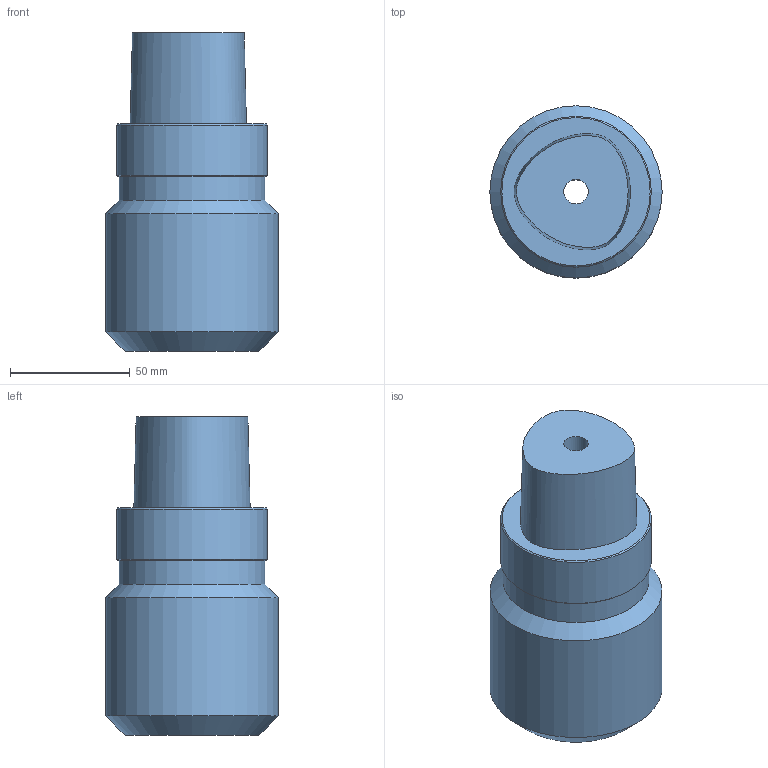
import cadquery as cq
import math

body_radius = 36.0
bottom_chamfer = 8.0
neck_radius = 30.5
neck_bottom = 63.0
shoulder_height = body_radius - neck_radius
flange_radius = 31.5
flange_bottom = 73.0
flange_top = 95.0
flange_chamfer = 0.5

shank_length = 38.0
shank_base_width = 48.6
taper_ratio = 20.0
lobe_eccentricity = 3.1
lobe_point_count = 36

bore_diameter = 10.2

total_height = flange_top + shank_length


def make_body():
    """Revolve the chamfered body, neck and flange as one profile."""
    profile = (
        cq.Workplane("XZ")
        .moveTo(0, 0)
        .lineTo(body_radius - bottom_chamfer, 0)
        .lineTo(body_radius, bottom_chamfer)
        .lineTo(body_radius, neck_bottom - shoulder_height)
        .lineTo(neck_radius, neck_bottom)
        .lineTo(neck_radius, flange_bottom)
        .lineTo(flange_radius - flange_chamfer, flange_bottom)
        .lineTo(flange_radius, flange_bottom + flange_chamfer)
        .lineTo(flange_radius, flange_top - flange_chamfer)
        .lineTo(flange_radius - flange_chamfer, flange_top)
        .lineTo(0, flange_top)
        .close()
    )
    return profile.revolve(360, (0, 0, 0), (0, 1, 0))


def lobed_points(width):
    """Points on a three-lobed curve of constant width, one lobe toward -X."""
    points = []
    for index in range(lobe_point_count):
        angle = math.pi + 2 * math.pi * index / lobe_point_count
        x = (
            width / 2 * math.cos(angle)
            - lobe_eccentricity * math.cos(2 * angle)
            + lobe_eccentricity / 2 * math.cos(4 * angle)
        )
        y = (
            width / 2 * math.sin(angle)
            + lobe_eccentricity * math.sin(2 * angle)
            + lobe_eccentricity / 2 * math.sin(4 * angle)
        )
        points.append((x, y))
    return points


def make_shank():
    """Loft the lobed section from the flange to the narrower top face."""
    top_width = shank_base_width - shank_length / taper_ratio
    return (
        cq.Workplane("XY")
        .workplane(offset=flange_top)
        .spline(lobed_points(shank_base_width), periodic=True)
        .close()
        .workplane(offset=shank_length)
        .spline(lobed_points(top_width), periodic=True)
        .close()
        .loft(ruled=True, combine=True)
    )


def make_bore():
    """Cylinder on the axis running the full height of the part."""
    return cq.Workplane("XY").circle(bore_diameter / 2).extrude(total_height)


result = make_body().union(make_shank()).cut(make_bore())